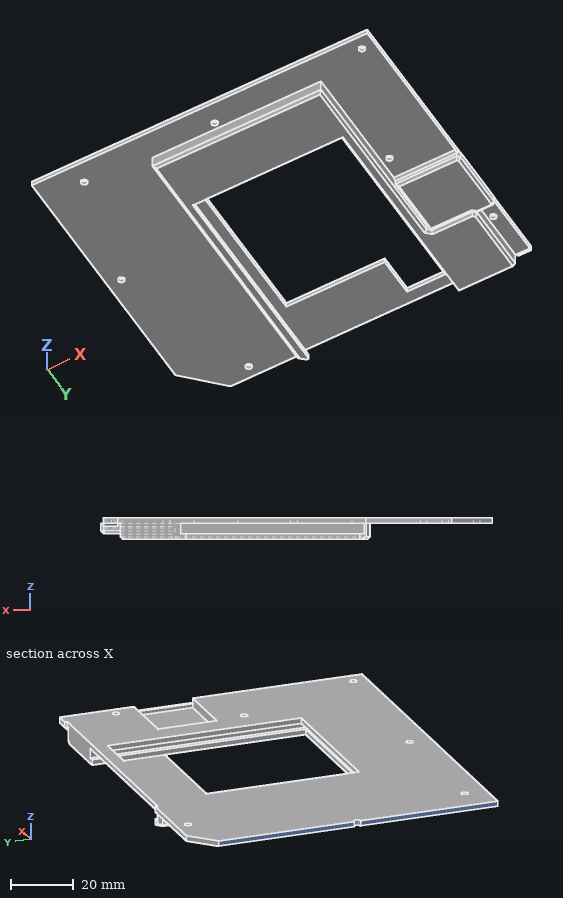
import cadquery as cq

plate_x = 124.0
plate_y = 103.5
plate_thickness = 1.9
corner_cut = 12.9
rear_notch_start = 40.3
rear_notch_end = 119.4
rear_notch_depth = 0.9

window_left = 44.8
window_right = 95.3
window_front = 32.0
window_rear = 84.2
window_step = 81.2
window_top = 98.3

hole_diameter = 2.1
hole_centres = [
    (22.0, 99.4), (120.5, 85.6), (5.0, 48.1), (104.0, 48.1),
    (15.1, 7.4), (63.3, 7.4), (119.3, 4.7),
]

total_height = 7.0
edge_chamfer = 0.94
corner_chamfer = 1.2
tray_left = 39.0
tray_right = 101.3
tray_front = 9.6
tray_rear = plate_y - rear_notch_depth
tray_wall = plate_thickness
floor_thickness = plate_thickness
floor_setback = 2.5
rear_block_right = 118.7
rear_block_front = 77.5

bay_right = 124.9
bay_front = 56.5
bay_rear = 79.6
bay_depth = 5.1
bay_wall = 1.5
pocket_left = 102.9
pocket_depth = bay_depth - floor_thickness

gusset_size = rear_notch_depth
plate_bottom = total_height - plate_thickness


def box(x0, x1, y0, y1, z0, z1):
    return cq.Workplane("XY").box(x1 - x0, y1 - y0, z1 - z0, centered=False).translate((x0, y0, z0))


def make_plate():
    notch_y = plate_y - rear_notch_depth
    outline = [
        (0, 0), (plate_x, 0), (plate_x, plate_y),
        (rear_notch_end, plate_y), (rear_notch_end, notch_y),
        (rear_notch_start, notch_y), (rear_notch_start, plate_y),
        (corner_cut, plate_y), (0, plate_y - corner_cut),
    ]
    window = [
        (window_left, window_front), (window_right, window_front), (window_right, window_top),
        (window_step, window_top), (window_step, window_rear), (window_left, window_rear),
    ]
    plate = cq.Workplane("XY").workplane(offset=plate_bottom).polyline(outline).close()
    return plate.polyline(window).close().extrude(plate_thickness)


def make_tray():
    """Tray under the plate, hollow around the window, with a solid block at its right rear."""
    outline = [
        (tray_left, tray_front), (tray_right, tray_front),
        (tray_right, rear_block_front - corner_chamfer),
        (tray_right + corner_chamfer, rear_block_front),
        (rear_block_right - corner_chamfer, rear_block_front),
        (rear_block_right, rear_block_front + corner_chamfer),
        (rear_block_right, tray_rear),
        (tray_left + corner_chamfer, tray_rear), (tray_left, tray_rear - corner_chamfer),
    ]
    tray = cq.Workplane("XY").polyline(outline).close().extrude(plate_bottom)
    tray = tray.faces("<Z").edges("not(>Y)").chamfer(edge_chamfer)
    cavity = box(
        tray_left + tray_wall, tray_right - tray_wall, tray_front + tray_wall, tray_rear,
        floor_thickness, plate_bottom,
    )
    floor_opening = box(
        window_left - floor_setback, window_right + floor_setback,
        window_front - floor_setback, tray_rear, 0, floor_thickness,
    )
    return tray.cut(cavity).cut(floor_opening)


def make_bay():
    bay = box(tray_right, bay_right, bay_front, bay_rear, total_height - bay_depth, plate_bottom)
    bay = bay.edges("|Z and >X").chamfer(edge_chamfer)
    return bay.faces("<Z").chamfer(edge_chamfer)


def make_gusset(x0, x1, wall_y, outward):
    """Sloped strip joining a wall facing along Y to the plate's underside."""
    section = [
        (wall_y, plate_bottom), (wall_y + outward * gusset_size, plate_bottom),
        (wall_y, plate_bottom - gusset_size),
    ]
    return cq.Workplane("YZ").workplane(offset=x0).polyline(section).close().extrude(x1 - x0)


result = make_plate().union(make_tray()).union(make_bay())
result = result.union(make_gusset(tray_right, plate_x, bay_front, -1))
result = result.union(make_gusset(rear_notch_end, plate_x, tray_rear, 1))
result = result.cut(
    box(pocket_left, plate_x, bay_front + bay_wall, bay_rear - bay_wall,
        total_height - pocket_depth, total_height)
)
holes = cq.Workplane("XY").pushPoints(hole_centres).circle(hole_diameter / 2).extrude(total_height)
result = result.cut(holes)